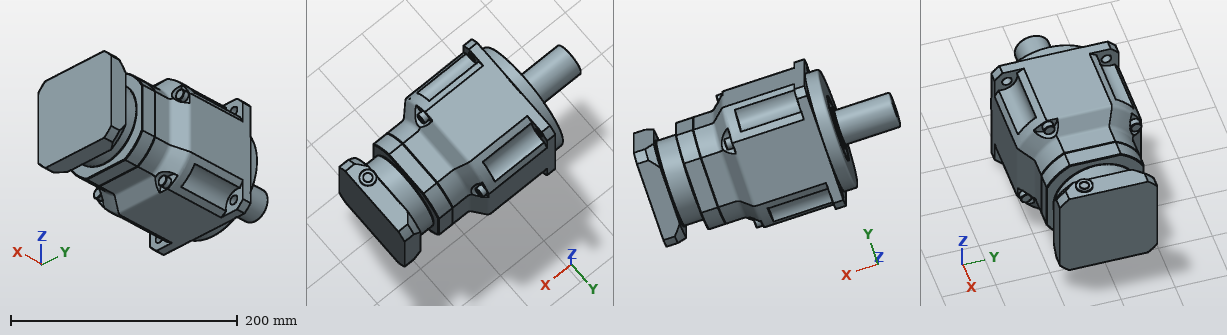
import cadquery as cq
import math

OVERALL_LENGTH = 228.0

SHAFT_RADIUS = 16.0
SHAFT_TIP_FILLET = 1.5
SHOULDER_RADIUS = 19.0
SHOULDER_START = 50.8
SHOULDER_CHAMFER = 0.7
SHAFT_SEAT_DEPTH = 11.9
CENTER_DRILL_DIAMETER = 10.3
CENTER_DRILL_DEPTH = 18.2
CENTER_MOUTH_DIAMETER = 12.0
CENTER_MOUTH_DEPTH = 4.5
DRILL_POINT_ANGLE = 120.0

PILOT_START = 53.0
PILOT_RADIUS = 55.0
PILOT_FILLET = 2.0
SEAL_RADIUS = 58.0 / 2
SEAL_GROOVE_WIDTH = 1.1
SEAL_GROOVE_DEPTH = 1.0
SEAL_CHAMFER = 1.0

FLANGE_START = 65.0
FLANGE_END = 74.5
FLANGE_SIDE = 115.0
FLANGE_CORNER_RADIUS = 76.2
BOLT_HOLE_DIAMETER = 9.0
BOLT_CIRCLE_RADIUS = 65.0

FLUTE_END = 131.0
FLUTE_RADIUS = 14.0
FLUTE_CENTER_RADIUS = 71.1

BODY_CORNER_RADIUS = 65.0
TAPER_START = 141.4
TAPER_FILLET = 5.0
REAR_SIDE = 90.0
REAR_CORNER_RADIUS = 50.8
REAR_END = 189.0
REAR_END_CHAMFER = 0.7
SEAM_START = 172.4
SEAM_WIDTH = 0.7
SEAM_DEPTH = 0.2

SCREW_CIRCLE_RADIUS = 58.5
SCREW_ANGLE = 30.0
SCREW_HEAD_DIAMETER = 10.0
SCREW_HEAD_HEIGHT = 6.2
SCREW_HEAD_CHAMFER = 0.5
SCREW_POCKET_RADIUS = 12.5
SCREW_POCKET_CENTER_RADIUS = 65.7

NECK_RADIUS = 39.5
NECK_GROOVE_WIDTH = 1.0
NECK_GROOVE_DEPTH = 1.0
COLLAR_START = 208.6
COLLAR_RADIUS = 40.1
ADAPTER_START = 209.5
ADAPTER_CORNER_RADIUS = 58.0
ADAPTER_CONE_LENGTH = 7.8
ADAPTER_CONE_FRONT_RADIUS = 52.5

PLUG_X = 216.5
PLUG_Y = -19.0
PLUG_DIAMETER = 15.0
PLUG_HEIGHT = 1.4
PLUG_RECESS_DIAMETER = 8.5
PLUG_RECESS_DEPTH = 0.7

TAPER_LENGTH = (FLANGE_SIDE - REAR_SIDE) / 2
TAPER_END = TAPER_START + TAPER_LENGTH
SHAFT_END = PILOT_START + SHAFT_SEAT_DEPTH
QUARTER_TURNS = (0, 90, 180, 270)
FIRST_CORNER_ANGLE = 45


def disc(start, end, radius):
    """Cylinder on the X axis from X = start to X = end."""
    return cq.Workplane("YZ").workplane(offset=start).circle(radius).extrude(end - start)


def square_block(start, end, side):
    """Square bar centred on the X axis from X = start to X = end."""
    return cq.Workplane("YZ").workplane(offset=start).rect(side, side).extrude(end - start)


def off_axis_cylinder(start, end, center_radius, angle, radius):
    """Cylinder parallel to X, at a polar angle measured from +Y towards +Z."""
    y = center_radius * math.cos(math.radians(angle))
    z = center_radius * math.sin(math.radians(angle))
    return disc(start, end, radius).translate((0, y, z))


def make_center_hole():
    drill_radius = CENTER_DRILL_DIAMETER / 2
    mouth_radius = CENTER_MOUTH_DIAMETER / 2
    point_length = drill_radius / math.tan(math.radians(DRILL_POINT_ANGLE / 2))
    profile = [
        (0, 0),
        (0, mouth_radius),
        (CENTER_MOUTH_DEPTH, mouth_radius),
        (CENTER_MOUTH_DEPTH, drill_radius),
        (CENTER_DRILL_DEPTH, drill_radius),
        (CENTER_DRILL_DEPTH + point_length, 0),
    ]
    return cq.Workplane("XY").polyline(profile).close().revolve(360, (0, 0), (1, 0))


def make_output_shaft():
    journal = disc(0, SHOULDER_START, SHAFT_RADIUS).faces("<X").edges().fillet(SHAFT_TIP_FILLET)
    shoulder = disc(SHOULDER_START, SHAFT_END, SHOULDER_RADIUS)
    shoulder = shoulder.faces("<X").edges().chamfer(SHOULDER_CHAMFER)
    return journal.union(shoulder).cut(make_center_hole())


def make_pilot():
    """Pilot disc whose seal is outlined by a groove with a sloping inner wall."""
    pilot = disc(PILOT_START, FLANGE_START, PILOT_RADIUS).faces("<X").edges().fillet(PILOT_FILLET)
    groove_end = PILOT_START + SEAL_GROOVE_DEPTH
    groove_profile = [
        (PILOT_START, SEAL_RADIUS - SEAL_CHAMFER),
        (PILOT_START, SEAL_RADIUS + SEAL_GROOVE_WIDTH),
        (groove_end, SEAL_RADIUS + SEAL_GROOVE_WIDTH),
        (groove_end, SEAL_RADIUS),
    ]
    groove = cq.Workplane("XY").polyline(groove_profile).close().revolve(360, (0, 0), (1, 0))
    return pilot.cut(groove)


def make_flange():
    flange = square_block(FLANGE_START, FLANGE_END, FLANGE_SIDE)
    return flange.intersect(disc(FLANGE_START, FLANGE_END, FLANGE_CORNER_RADIUS))


def tapered_profile(front_half, rear_half):
    """Half outline of the body above the X axis, with both ends of the taper rounded."""
    slope_angle = math.atan2(front_half - rear_half, TAPER_LENGTH)
    run = TAPER_FILLET * math.tan(slope_angle / 2)
    along = run * math.cos(slope_angle)
    drop = run * math.sin(slope_angle)
    seam_end = SEAM_START + SEAM_WIDTH
    return (
        cq.Workplane("XY")
        .moveTo(FLANGE_END, 0)
        .lineTo(FLANGE_END, front_half)
        .lineTo(TAPER_START - run, front_half)
        .tangentArcPoint((TAPER_START + along, front_half - drop), relative=False)
        .lineTo(TAPER_END - along, rear_half + drop)
        .tangentArcPoint((TAPER_END + run, rear_half), relative=False)
        .lineTo(SEAM_START, rear_half)
        .lineTo(SEAM_START, rear_half - SEAM_DEPTH)
        .lineTo(seam_end, rear_half - SEAM_DEPTH)
        .lineTo(seam_end, rear_half)
        .lineTo(REAR_END - REAR_END_CHAMFER, rear_half)
        .lineTo(REAR_END, rear_half - REAR_END_CHAMFER)
        .lineTo(REAR_END, 0)
    )


def make_body():
    """Square tapering body whose four corners are turned round about the X axis."""
    flats = tapered_profile(FLANGE_SIDE / 2, REAR_SIDE / 2).mirrorX()
    slab_y = flats.extrude(FLANGE_SIDE / 2, both=True)
    slab_z = slab_y.rotate((0, 0, 0), (1, 0, 0), 90)
    turned = tapered_profile(BODY_CORNER_RADIUS, REAR_CORNER_RADIUS).close()
    turned = turned.revolve(360, (0, 0), (1, 0))
    return turned.intersect(slab_y).intersect(slab_z)


def make_neck():
    groove_end = REAR_END + NECK_GROOVE_WIDTH
    neck = disc(REAR_END, groove_end, NECK_RADIUS - NECK_GROOVE_DEPTH)
    neck = neck.union(disc(groove_end, COLLAR_START, NECK_RADIUS))
    return neck.union(disc(COLLAR_START, ADAPTER_START, COLLAR_RADIUS))


def make_adapter():
    """Square plate with turned corners that are coned towards the front."""
    plate = square_block(ADAPTER_START, OVERALL_LENGTH, REAR_SIDE)
    turned_profile = [
        (ADAPTER_START, 0),
        (ADAPTER_START, ADAPTER_CONE_FRONT_RADIUS),
        (ADAPTER_START + ADAPTER_CONE_LENGTH, ADAPTER_CORNER_RADIUS),
        (OVERALL_LENGTH, ADAPTER_CORNER_RADIUS),
        (OVERALL_LENGTH, 0),
    ]
    turned = cq.Workplane("XY").polyline(turned_profile).close().revolve(360, (0, 0), (1, 0))
    return plate.intersect(turned)


def make_plug():
    base = cq.Workplane("XY").workplane(offset=REAR_SIDE / 2).center(PLUG_X, PLUG_Y)
    plug = base.circle(PLUG_DIAMETER / 2).extrude(PLUG_HEIGHT)
    return plug.faces(">Z").workplane().hole(PLUG_RECESS_DIAMETER, PLUG_RECESS_DEPTH)


def make_screw_head(angle):
    head_end = TAPER_START + SCREW_HEAD_HEIGHT
    head = off_axis_cylinder(TAPER_START, head_end, SCREW_CIRCLE_RADIUS, angle, SCREW_HEAD_DIAMETER / 2)
    return head.faces(">X").edges().chamfer(SCREW_HEAD_CHAMFER)


def make_housing():
    body = make_body()
    for turn in QUARTER_TURNS:
        corner = turn + FIRST_CORNER_ANGLE
        body = body.cut(
            off_axis_cylinder(FLANGE_END, FLUTE_END, FLUTE_CENTER_RADIUS, corner, FLUTE_RADIUS)
        )
        screw = turn + SCREW_ANGLE
        body = body.cut(
            off_axis_cylinder(TAPER_START, REAR_END, SCREW_POCKET_CENTER_RADIUS, screw, SCREW_POCKET_RADIUS)
        )
        body = body.union(make_screw_head(screw))

    flange = make_flange()
    for turn in QUARTER_TURNS:
        corner = turn + FIRST_CORNER_ANGLE
        flange = flange.cut(
            off_axis_cylinder(FLANGE_START, FLANGE_END, BOLT_CIRCLE_RADIUS, corner, BOLT_HOLE_DIAMETER / 2)
        )

    housing = make_pilot().union(flange).union(body).union(make_neck())
    housing = housing.union(make_adapter()).union(make_plug())
    return housing.cut(disc(PILOT_START, SHAFT_END, SHOULDER_RADIUS))


output_shaft = make_output_shaft()
housing = make_housing()
result = cq.Compound.makeCompound([housing.val(), output_shaft.val()])